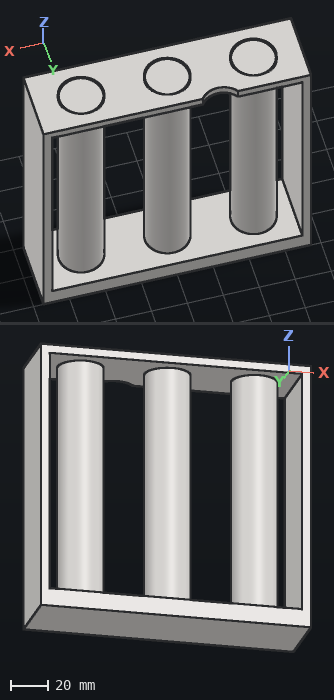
import cadquery as cq

width = 149.0
depth = 40.0
height = 149.0
panel = 4.9
shelf = 5.0

rod_count = 3
rod_spacing = 48.0
rod_diameter = 25.0
rod_end_diameter = 24.0
rod_recess = 0.5

notch_diameter = 24.0
notch_depth = 5.0
notch_x = -rod_spacing / 2

shelf_top = panel + shelf
top_underside = height - panel
rod_chamfer = (rod_diameter - rod_end_diameter) / 2
rod_positions = [(i - (rod_count - 1) / 2) * rod_spacing for i in range(rod_count)]


def make_panel(x, z, size_x, size_z):
    """Full-depth panel centred on x, with its underside at z."""
    return (
        cq.Workplane("XY", origin=(x, 0, z))
        .box(size_x, depth, size_z, centered=(True, True, False))
    )


def make_cylinder(x, y, z, diameter, length):
    """Upright cylinder with its lower end at z."""
    return cq.Workplane("XY", origin=(x, y, z)).circle(diameter / 2).extrude(length)


def make_frame():
    """One solid; clean=False keeps the edges where the panels join."""
    side_x = (width - panel) / 2
    side_height = top_underside - shelf_top

    frame = make_panel(0, 0, width, panel)
    frame = frame.union(make_panel(0, panel, width, shelf), clean=False)
    for x in (-side_x, side_x):
        frame = frame.union(make_panel(x, shelf_top, panel, side_height), clean=False)
    frame = frame.union(make_panel(0, top_underside, width, panel), clean=False)

    for x in rod_positions:
        hole = make_cylinder(x, 0, panel, rod_diameter, height - panel)
        frame = frame.cut(hole, clean=False)

    notch_y = depth / 2 - notch_depth + notch_diameter / 2
    notch = make_cylinder(notch_x, notch_y, top_underside, notch_diameter, panel)
    return frame.cut(notch, clean=False)


def make_rod(x):
    """Rod standing on the base, with its upper rim chamfered."""
    rod = make_cylinder(x, 0, panel, rod_diameter, height - rod_recess - panel)
    return rod.faces(">Z").chamfer(rod_chamfer)


frame = make_frame()
rods = [make_rod(x) for x in rod_positions]

result = cq.Compound.makeCompound([frame.solids().val(), *[rod.solids().val() for rod in rods]])